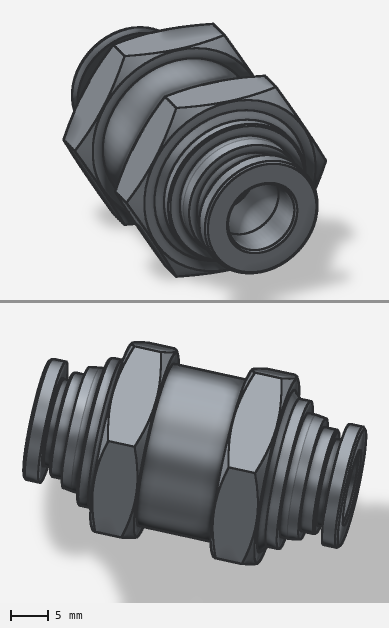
import cadquery as cq
import math

overall_length = 43.3
middle_x = overall_length / 2

flange_width = 2.12
rear_ring_start = 3.4
taper_start = 5.35
taper_end = 6.8
shoulder_start = 7.9
thread_chamfer_start = 9.45
nut_start = 10.35
nut_width = 6.0

flange_diameter = 16.6
neck_diameter = 11.9
rear_ring_diameter = 14.3
taper_diameter = 16.6
collar_diameter = 17.0
shoulder_diameter = 20.25
thread_diameter = 22.2

across_flats = 25.4
nut_face_diameter = 25.2
nut_chamfer_angle = 30.0

bore_diameter = 9.75
bore_depth = 13.0

flange_chamfer = 0.3
mouth_chamfer = 0.3
rear_ring_chamfer = 0.2
shoulder_chamfer = 0.2
neck_flare_length = 0.2
neck_flare_height = 0.15


def revolve_about_x(points):
    """Revolve a closed (x, radius) outline about the X axis."""
    return cq.Workplane("XY").polyline(points).close().revolve(360, (0, 0, 0), (1, 0, 0))


def mirror_to_right(shape):
    """Mirror a shape across the middle of the union."""
    return shape.mirror("YZ", (middle_x, 0, 0))


def body_half():
    """Left half of the body, stepped outside, with a flat end for the sleeve."""
    shoulder_radius = shoulder_diameter / 2
    return revolve_about_x([
        (taper_start, bore_diameter / 2),
        (taper_start, taper_diameter / 2),
        (taper_end, collar_diameter / 2),
        (shoulder_start, collar_diameter / 2),
        (shoulder_start, shoulder_radius),
        (thread_chamfer_start, shoulder_radius),
        (nut_start, thread_diameter / 2),
        (middle_x, thread_diameter / 2),
        (middle_x, 0),
        (bore_depth, 0),
        (bore_depth, bore_diameter / 2),
    ])


def make_body():
    """Whole body; only the right shoulder has its outer edge chamfered."""
    left_half = body_half()
    whole = left_half.union(mirror_to_right(left_half))
    shoulder_end = overall_length - shoulder_start
    shoulder_radius = shoulder_diameter / 2
    edge_ring = revolve_about_x([
        (shoulder_end - shoulder_chamfer, shoulder_radius),
        (shoulder_end, shoulder_radius),
        (shoulder_end, shoulder_radius - shoulder_chamfer),
    ])
    return whole.cut(edge_ring)


def make_nut(start_x):
    """Hex nut with flats facing up and down and both faces chamfered."""
    across_corners = across_flats / math.cos(math.radians(30))
    corner_radius = across_corners / 2
    face_radius = nut_face_diameter / 2
    chamfer_length = (corner_radius - face_radius) * math.tan(math.radians(nut_chamfer_angle))
    end_x = start_x + nut_width
    hexagon = (
        cq.Workplane("YZ", origin=(start_x, 0, 0))
        .polygon(6, across_corners)
        .extrude(nut_width)
    )
    chamfered_ring = revolve_about_x([
        (start_x, thread_diameter / 2),
        (start_x, face_radius),
        (start_x + chamfer_length, corner_radius),
        (end_x - chamfer_length, corner_radius),
        (end_x, face_radius),
        (end_x, thread_diameter / 2),
    ])
    return hexagon.intersect(chamfered_ring)


def make_left_sleeve():
    """Flanged release sleeve with a necked groove, butting against the end of the body."""
    flange_radius = flange_diameter / 2
    neck_radius = neck_diameter / 2
    rear_ring_radius = rear_ring_diameter / 2
    bore_radius = bore_diameter / 2
    return revolve_about_x([
        (0, bore_radius + mouth_chamfer),
        (0, flange_radius - flange_chamfer),
        (flange_chamfer, flange_radius),
        (flange_width, flange_radius),
        (flange_width, neck_radius + neck_flare_height),
        (flange_width + neck_flare_length, neck_radius),
        (rear_ring_start, neck_radius),
        (rear_ring_start, rear_ring_radius - rear_ring_chamfer),
        (rear_ring_start + rear_ring_chamfer, rear_ring_radius),
        (taper_start, rear_ring_radius),
        (taper_start, bore_radius),
        (mouth_chamfer, bore_radius),
    ])


body = make_body()

right_nut_start = overall_length - nut_start - nut_width
nuts = [make_nut(start_x) for start_x in (nut_start, right_nut_start)]

left_sleeve = make_left_sleeve()
sleeves = [left_sleeve, mirror_to_right(left_sleeve)]

result = cq.Compound.makeCompound([
    body.val(),
    *[nut.val() for nut in nuts],
    *[sleeve.val() for sleeve in sleeves],
])